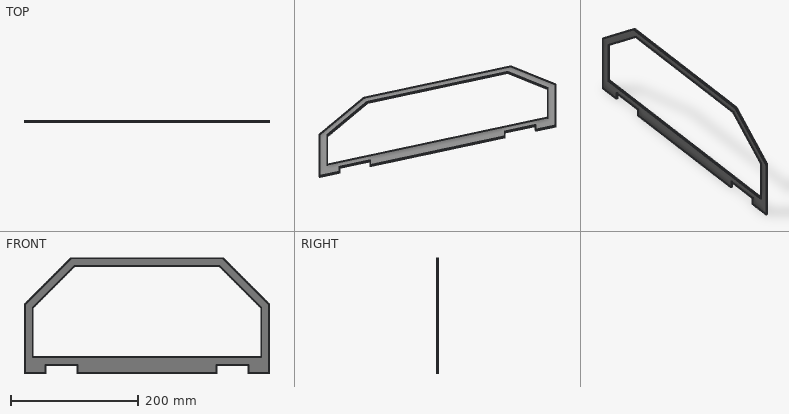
import cadquery as cq
import math

WIDTH = 383.62
THICKNESS = 2.54
HEIGHT = 180.59

BORDER = 12.7
SILL_HEIGHT = 2 * BORDER

OUTER_CORNER = 72.45
INNER_CORNER = OUTER_CORNER - (2 - math.sqrt(2)) * BORDER

NOTCH_WIDTH = 50.0
NOTCH_DEPTH = SILL_HEIGHT / 2
NOTCH_INSET = 32.5


def plate_with_cut_top_corners(width, bottom, top, corner):
    """Plate centred on X = 0 and Y = 0, its two upper corners cut at 45 degrees."""
    half_width = width / 2
    shoulder = top - corner
    outline = [
        (-half_width, bottom),
        (half_width, bottom),
        (half_width, shoulder),
        (half_width - corner, top),
        (-half_width + corner, top),
        (-half_width, shoulder),
    ]
    plate = cq.Workplane("XZ").polyline(outline).close()
    return plate.extrude(THICKNESS / 2, both=True)


def bottom_notch(side):
    """Cutter for one bottom notch; side is -1 for left and +1 for right."""
    centre_x = side * (WIDTH / 2 - NOTCH_INSET - NOTCH_WIDTH / 2)
    cutter = cq.Workplane("XY").box(NOTCH_WIDTH, THICKNESS, NOTCH_DEPTH)
    return cutter.translate((centre_x, 0, NOTCH_DEPTH / 2))


frame = plate_with_cut_top_corners(WIDTH, 0, HEIGHT, OUTER_CORNER)

window = plate_with_cut_top_corners(
    WIDTH - 2 * BORDER, SILL_HEIGHT, HEIGHT - BORDER, INNER_CORNER
)
frame = frame.cut(window)

for side in (-1, 1):
    frame = frame.cut(bottom_notch(side))

result = frame